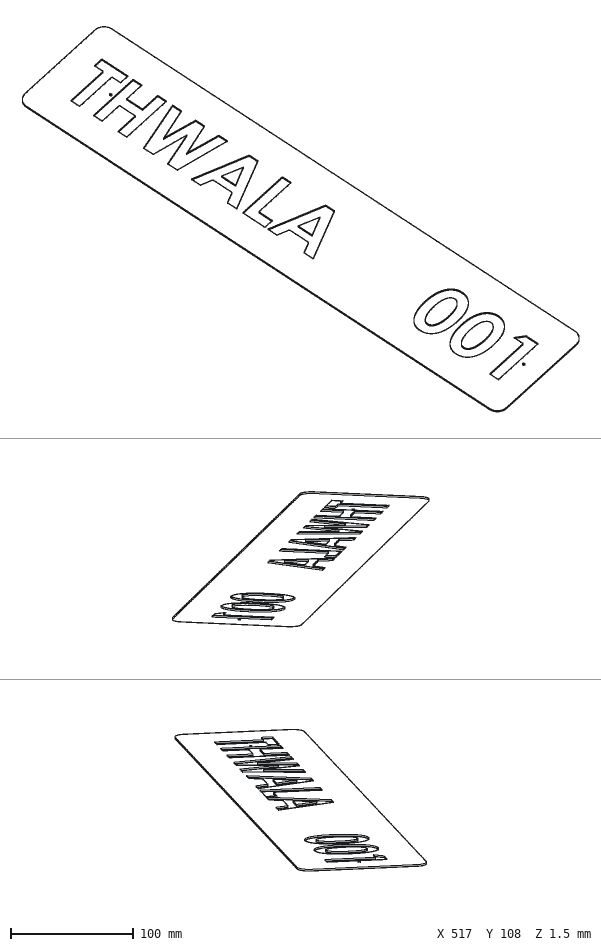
import cadquery as cq

plate_length = 517.0
plate_width = 108.0
thickness = 1.5
corner_radius = 10.0

baseline = -26.0
cap_height = 50.0
stroke = 9.5

t_left = -234.0
h_left = -200.5
w_left = -158.0
a_lefts = [-95.5, -13.5]
l_left = -40.5
zero_centres = [151.5, 190.0]
one_left = 215.0

t_width = 28.0

h_width = 35.5
h_bar_bottom = 21.5

w_width = 59.0
w_foot_start = 11.5
w_foot_end = 21.5
w_peak_start = 25.0
w_valley_height = 18.5
w_notch_height = 33.5

a_width = 48.5
a_top_width = 9.5
a_foot_width = 10.0
a_bar_bottom = 11.0
a_island_width = 15.0
a_island_bottom = 18.5
a_island_top = 37.0

l_width = 24.0

zero_width = 34.0
zero_height = 53.0
zero_island_width = 16.0
zero_island_height = 34.5
oval_fullness = 0.62

one_width = 19.0
one_flag_top = 6.0
one_flag_height = 8.0

hole_diameter = 2.0
hole_positions = [(-204.0, 0), (239.5, 0)]


def extrude_outline(points, left):
    """Closed outline, placed from its left edge and the baseline, at plate thickness."""
    return (
        cq.Workplane("XY")
        .center(left, baseline)
        .polyline(points)
        .close()
        .extrude(thickness)
    )


def mirrored(half_outline, width):
    """Complete a left half outline with its mirror image about the letter's middle."""
    return half_outline + [(width - x, y) for x, y in reversed(half_outline)]


def letter_t():
    stem_start = (t_width - stroke) / 2
    bar_bottom = cap_height - stroke
    half = [(stem_start, 0), (stem_start, bar_bottom), (0, bar_bottom), (0, cap_height)]
    return extrude_outline(mirrored(half, t_width), t_left)


def letter_h():
    bar_top = h_bar_bottom + stroke
    lower_half = [(stroke, h_bar_bottom), (stroke, 0), (0, 0)]
    upper_half = [(0, cap_height), (stroke, cap_height), (stroke, bar_top)]
    return extrude_outline(mirrored(lower_half + upper_half, h_width), h_left)


def letter_w():
    middle = w_width / 2
    valley_x = (stroke + w_peak_start) / 2
    half = [
        (middle, w_notch_height),
        (w_foot_end, 0),
        (w_foot_start, 0),
        (0, cap_height),
        (stroke, cap_height),
        (valley_x, w_valley_height),
        (w_peak_start, cap_height),
    ]
    right_half = [(w_width - x, y) for x, y in reversed(half[1:])]
    return extrude_outline(half + right_half, w_left)


def letter_a(left):
    top_start = (a_width - a_top_width) / 2
    leg_lean = top_start / cap_height
    bar_start = a_foot_width + leg_lean * a_bar_bottom
    half = [(bar_start, a_bar_bottom), (a_foot_width, 0), (0, 0), (top_start, cap_height)]
    return extrude_outline(mirrored(half, a_width), left)


def letter_l():
    outline = [
        (0, 0),
        (l_width, 0),
        (l_width, stroke),
        (stroke, stroke),
        (stroke, cap_height),
        (0, cap_height),
    ]
    return extrude_outline(outline, l_left)


def digit_one():
    stem_start = one_width - stroke
    flag_bottom = cap_height - one_flag_height
    outline = [
        (stem_start, 0),
        (one_width, 0),
        (one_width, cap_height),
        (one_flag_top, cap_height),
        (0, flag_bottom),
        (stem_start, flag_bottom),
    ]
    return extrude_outline(outline, one_left)


def oval(centre_x, width, height):
    """Upright oval of four quarter curves, centred on the middle of the character height."""
    side = width / 2
    top = height / 2
    side_handle = side * oval_fullness
    top_handle = top * oval_fullness
    return (
        cq.Workplane("XY")
        .center(centre_x, baseline + cap_height / 2)
        .bezier([(side, 0), (side, top_handle), (side_handle, top), (0, top)])
        .bezier([(0, top), (-side_handle, top), (-side, top_handle), (-side, 0)])
        .bezier([(-side, 0), (-side, -top_handle), (-side_handle, -top), (0, -top)])
        .bezier([(0, -top), (side_handle, -top), (side, -top_handle), (side, 0)])
        .close()
        .extrude(thickness)
    )


def a_island(left):
    """Loose triangle inside a letter A."""
    middle = a_width / 2
    half_width = a_island_width / 2
    outline = [
        (middle - half_width, a_island_bottom),
        (middle + half_width, a_island_bottom),
        (middle, a_island_top),
    ]
    return extrude_outline(outline, left)


def zero_island(centre_x):
    """Loose oval inside a digit zero."""
    return oval(centre_x, zero_island_width, zero_island_height)


def name_plate():
    plate = (
        cq.Workplane("XY")
        .rect(plate_length, plate_width)
        .extrude(thickness)
        .edges("|Z")
        .fillet(corner_radius)
    )
    cutouts = [letter_t(), letter_h(), letter_w(), letter_l(), digit_one()]
    cutouts += [letter_a(left) for left in a_lefts]
    cutouts += [oval(centre_x, zero_width, zero_height) for centre_x in zero_centres]
    for cutout in cutouts:
        plate = plate.cut(cutout)
    holes = (
        cq.Workplane("XY")
        .pushPoints(hole_positions)
        .circle(hole_diameter / 2)
        .extrude(thickness)
    )
    return plate.cut(holes)


plate = name_plate()
a_islands = [a_island(left) for left in a_lefts]
zero_islands = [zero_island(centre_x) for centre_x in zero_centres]

islands = [island.val() for island in a_islands + zero_islands]
result = cq.Compound.makeCompound([plate.val(), *islands])